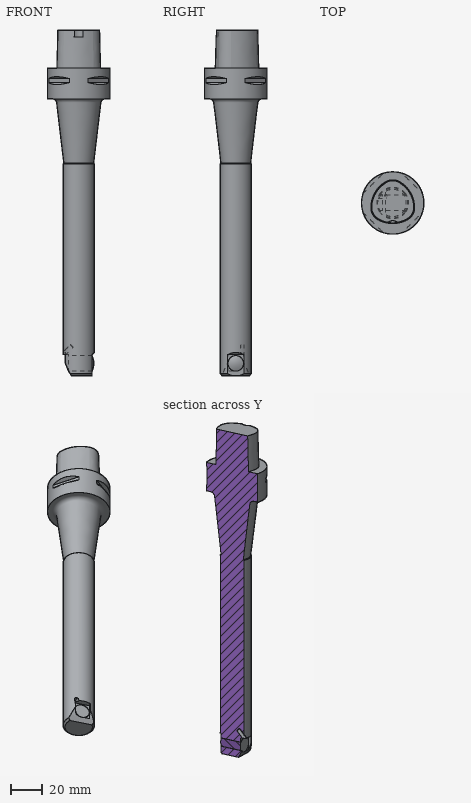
import cadquery as cq
import math

TOTAL_LENGTH = 220.5
SHANK_LENGTH = 24.3
COLLAR_HEIGHT = 19.6
CONE_HEIGHT = 41.0
COLLAR_TOP = TOTAL_LENGTH - SHANK_LENGTH
COLLAR_BOTTOM = COLLAR_TOP - COLLAR_HEIGHT
CONE_BOTTOM = COLLAR_BOTTOM - CONE_HEIGHT

COLLAR_RADIUS = 40.0 / 2
BAR_RADIUS = 20.0 / 2
CONE_TOP_RADIUS = 14.1
BAR_STEP = 0.5
NECK_FILLET = 2.9
TIP_CHAMFER = 1.3

LOBE_CENTRE = 6.0
LOBE_RADIUS = 8.8
SHANK_TAPER = math.degrees(math.atan(1 / 40))
LOBE_SPACING = 120
LOBE_ANGLES = (90, 210, 330)
LOBE_HALF_ANGLE = 30

NOTCH_HEIGHT = 4.5
NOTCH_RADIUS = 4.0
NOTCH_FLOOR_Y = -11.2

GROOVE_Z = 188.3
GROOVE_WALL_DISTANCE = 17.6
GROOVE_WALL_HEIGHT = 2.5
GROOVE_MOUTH_HEIGHT = 5.0
GROOVE_ANGLES = (45, 135, 225, 315)

POCKET_FLOOR_X = -6.6
RELIEF_END_Z = 3.0
RELIEF_SLOPE = 0.4
TIP_END_X = -4.6
BACK_FLAT_X = 8.5
BACK_FLAT_TOP = 13.5

INSERT_RADIUS = 10.0 / 2
INSERT_Z = 8.0
POCKET_TOP_GAP = 0.7
INSERT_CROWN = 1.0

COOLANT_RADIUS = 2.5 / 2
COOLANT_Y = 4.2
COOLANT_Z = 14.3
COOLANT_DEPTH = 6.6


def polar(radius, degrees, centre=(0, 0)):
    angle = math.radians(degrees)
    return (centre[0] + radius * math.cos(angle), centre[1] + radius * math.sin(angle))


def make_turned_body():
    """Collar, neck fillet, cone and bar, turned as one profile."""
    cone_end_radius = BAR_RADIUS - BAR_STEP
    fillet_bottom = COLLAR_BOTTOM - NECK_FILLET
    arc_middle = polar(NECK_FILLET, 135, (CONE_TOP_RADIUS + NECK_FILLET, fillet_bottom))
    return (
        cq.Workplane("XZ")
        .moveTo(0, 0)
        .lineTo(BAR_RADIUS - TIP_CHAMFER, 0)
        .lineTo(BAR_RADIUS, TIP_CHAMFER)
        .lineTo(BAR_RADIUS, CONE_BOTTOM - BAR_STEP)
        .lineTo(cone_end_radius, CONE_BOTTOM)
        .lineTo(CONE_TOP_RADIUS, fillet_bottom)
        .threePointArc(arc_middle, (CONE_TOP_RADIUS + NECK_FILLET, COLLAR_BOTTOM))
        .lineTo(COLLAR_RADIUS, COLLAR_BOTTOM)
        .lineTo(COLLAR_RADIUS, COLLAR_TOP)
        .lineTo(0, COLLAR_TOP)
        .close()
        .revolve(360, (0, 0), (0, 1))
    )


def make_polygon_shank():
    """Each flank arc is centred on the lobe facing it, so lobes and flanks run on smoothly."""
    flank_radius = LOBE_RADIUS + math.sqrt(3) * LOBE_CENTRE
    outline = cq.Workplane("XY", origin=(0, 0, COLLAR_TOP))
    first_lobe = polar(LOBE_CENTRE, LOBE_ANGLES[0])
    outline = outline.moveTo(*polar(LOBE_RADIUS, LOBE_ANGLES[0] - LOBE_HALF_ANGLE, first_lobe))
    for angle in LOBE_ANGLES:
        lobe = polar(LOBE_CENTRE, angle)
        next_lobe = polar(LOBE_CENTRE, angle + LOBE_SPACING)
        facing_lobe = polar(LOBE_CENTRE, angle + 2 * LOBE_SPACING)
        lobe_end = polar(LOBE_RADIUS, angle + LOBE_HALF_ANGLE, lobe)
        flank_middle = polar(flank_radius, angle + LOBE_SPACING / 2, facing_lobe)
        flank_end = polar(LOBE_RADIUS, angle + LOBE_SPACING - LOBE_HALF_ANGLE, next_lobe)
        outline = outline.threePointArc(polar(LOBE_RADIUS, angle, lobe), lobe_end)
        outline = outline.threePointArc(flank_middle, flank_end)
    return outline.close().extrude(SHANK_LENGTH, taper=SHANK_TAPER)


def make_notch():
    return (
        cq.Workplane("XY", origin=(0, NOTCH_FLOOR_Y - NOTCH_RADIUS, TOTAL_LENGTH - NOTCH_HEIGHT))
        .circle(NOTCH_RADIUS)
        .extrude(NOTCH_HEIGHT)
    )


def make_groove(angle):
    """Straight groove across the collar, flaring outward from its flat inner wall."""
    wall = GROOVE_WALL_HEIGHT / 2
    mouth = GROOVE_MOUTH_HEIGHT / 2
    return (
        cq.Workplane("XZ")
        .polyline([
            (GROOVE_WALL_DISTANCE, GROOVE_Z - wall),
            (COLLAR_RADIUS, GROOVE_Z - mouth),
            (COLLAR_RADIUS, GROOVE_Z + mouth),
            (GROOVE_WALL_DISTANCE, GROOVE_Z + wall),
        ])
        .close()
        .extrude(COLLAR_RADIUS, both=True)
        .rotate((0, 0, 0), (0, 0, 1), angle)
    )


def make_relief():
    """Sloping relief on the insert side, with a more inclined tip face below it."""
    relief_rise = (BAR_RADIUS + POCKET_FLOOR_X) / RELIEF_SLOPE
    return (
        cq.Workplane("XZ")
        .polyline([
            (TIP_END_X, 0),
            (POCKET_FLOOR_X, RELIEF_END_Z),
            (-BAR_RADIUS, RELIEF_END_Z + relief_rise),
            (-BAR_RADIUS, 0),
        ])
        .close()
        .extrude(BAR_RADIUS, both=True)
    )


def make_back_flat():
    """Flat opposite the insert, running out upward at 45 degrees."""
    depth = BAR_RADIUS - BACK_FLAT_X
    return (
        cq.Workplane("XZ")
        .polyline([
            (BACK_FLAT_X, 0),
            (BACK_FLAT_X, BACK_FLAT_TOP),
            (BAR_RADIUS, BACK_FLAT_TOP + depth),
            (BAR_RADIUS, 0),
        ])
        .close()
        .extrude(BAR_RADIUS, both=True)
    )


def make_pocket():
    """Square pocket around the insert; the lower +Y corner follows the insert's rim."""
    half = INSERT_RADIUS
    top = INSERT_Z + half + POCKET_TOP_GAP
    rim_middle = polar(half, -45, (0, INSERT_Z))
    return (
        cq.Workplane("YZ", origin=(POCKET_FLOOR_X, 0, 0))
        .moveTo(half, INSERT_Z)
        .lineTo(half, top)
        .lineTo(-half, top)
        .lineTo(-half, INSERT_Z - half)
        .lineTo(0, INSERT_Z - half)
        .threePointArc(rim_middle, (half, INSERT_Z))
        .close()
        .extrude(-BAR_RADIUS - POCKET_FLOOR_X)
    )


def make_coolant_outlet():
    """Blind bore rising into the bar at 45 degrees from its mouth on the bar surface."""
    mouth_x = -math.sqrt(BAR_RADIUS**2 - COOLANT_Y**2)
    mouth = cq.Vector(mouth_x, COOLANT_Y, COOLANT_Z)
    inward = cq.Vector(1, 0, 1).normalized()
    start = mouth - inward * COOLANT_DEPTH
    return cq.Workplane(cq.Solid.makeCylinder(COOLANT_RADIUS, 2 * COOLANT_DEPTH, start, inward))


def make_insert():
    """Round pin across the tip: flush with the pocket floor, domed beyond the back flat."""
    crown_radius = (INSERT_RADIUS**2 + INSERT_CROWN**2) / (2 * INSERT_CROWN)
    crown_tip = BACK_FLAT_X + INSERT_CROWN
    crown_middle = polar(
        crown_radius,
        math.degrees(math.asin(INSERT_RADIUS / crown_radius)) / 2,
        (crown_tip - crown_radius, 0),
    )
    return (
        cq.Workplane("XY")
        .moveTo(POCKET_FLOOR_X, 0)
        .lineTo(POCKET_FLOOR_X, INSERT_RADIUS)
        .lineTo(BACK_FLAT_X, INSERT_RADIUS)
        .threePointArc(crown_middle, (crown_tip, 0))
        .close()
        .revolve(360, (0, 0), (1, 0))
        .translate((0, 0, INSERT_Z))
    )


insert = make_insert()

holder = make_turned_body().union(make_polygon_shank()).cut(make_notch())
for groove_angle in GROOVE_ANGLES:
    holder = holder.cut(make_groove(groove_angle))
holder = holder.cut(make_relief()).cut(make_back_flat()).cut(make_pocket())
holder = holder.cut(make_coolant_outlet()).cut(insert)

result = cq.Compound.makeCompound([holder.val(), insert.val()])